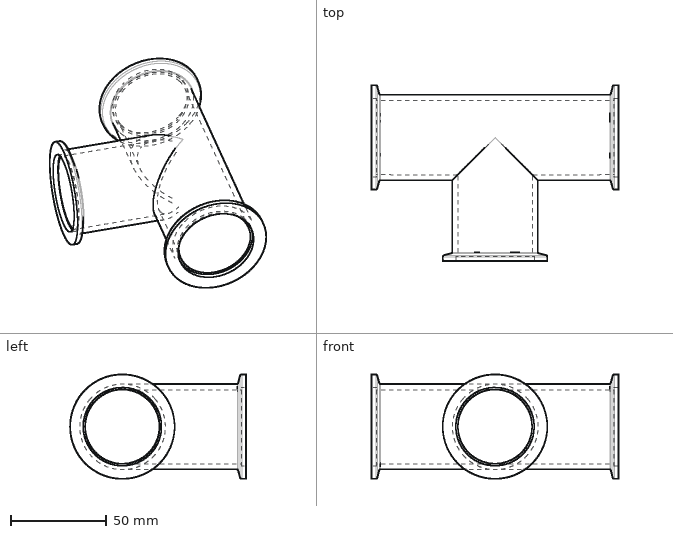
import cadquery as cq
import math

run_length = 130.0
branch_length = 65.0
tube_diameter = 45.0
bore_diameter = 39.0

flange_diameter = 55.0
rim_thickness = 3.0
taper_angle = 15.0
rim_round = 1.0
neck_round = 0.5
stub_length = 8.0

recess_diameter = 41.2
recess_depth = 2.6

tube_radius = tube_diameter / 2
flange_radius = flange_diameter / 2
taper_length = (flange_radius - tube_radius) * math.tan(math.radians(taper_angle))

left_port = cq.Plane(origin=(-run_length / 2, 0, 0), xDir=(0, 1, 0), normal=(-1, 0, 0))
right_port = cq.Plane(origin=(run_length / 2, 0, 0), xDir=(0, 1, 0), normal=(1, 0, 0))
branch_port = cq.Plane(origin=(0, -branch_length, 0), xDir=(1, 0, 0), normal=(0, -1, 0))
ports = (left_port, right_port, branch_port)


def cylinder_inward(port, diameter, length):
    """Cylinder running from a flange face into the part."""
    return cq.Workplane(port).circle(diameter / 2).extrude(-length)


def tee(diameter):
    """Run and branch cylinders of one diameter, meeting at the origin."""
    run = cylinder_inward(left_port, diameter, run_length)
    branch = cylinder_inward(branch_port, diameter, branch_length)
    return run.union(branch)


def seam_selector(port, depth):
    """Selects the circular edge centred on the port axis at a depth behind the flange face."""
    return cq.selectors.NearestToPointSelector(port.toWorldCoords((0, 0, -depth)))


def flange(port):
    """Clamp flange: rounded rim, tapered back and a short tube stub with a blended neck."""
    rim = cylinder_inward(port, flange_diameter, rim_thickness)
    taper = (
        cq.Workplane(port)
        .workplane(offset=-rim_thickness)
        .circle(flange_radius)
        .workplane(offset=-taper_length)
        .circle(tube_radius)
        .loft()
    )
    stub = cylinder_inward(port, tube_diameter, stub_length)
    rim_seam = seam_selector(port, rim_thickness)
    neck_seam = seam_selector(port, rim_thickness + taper_length)
    solid = rim.union(taper).union(stub)
    return solid.edges(rim_seam).fillet(rim_round).edges(neck_seam).fillet(neck_round)


def cut_bores(solid):
    """Open the through bores and the recess in each flange face."""
    solid = solid.cut(tee(bore_diameter))
    for port in ports:
        solid = solid.cut(cylinder_inward(port, recess_diameter, recess_depth))
    return solid


outer_body = tee(tube_diameter)
for port in ports:
    outer_body = outer_body.union(flange(port))

result = cut_bores(outer_body)